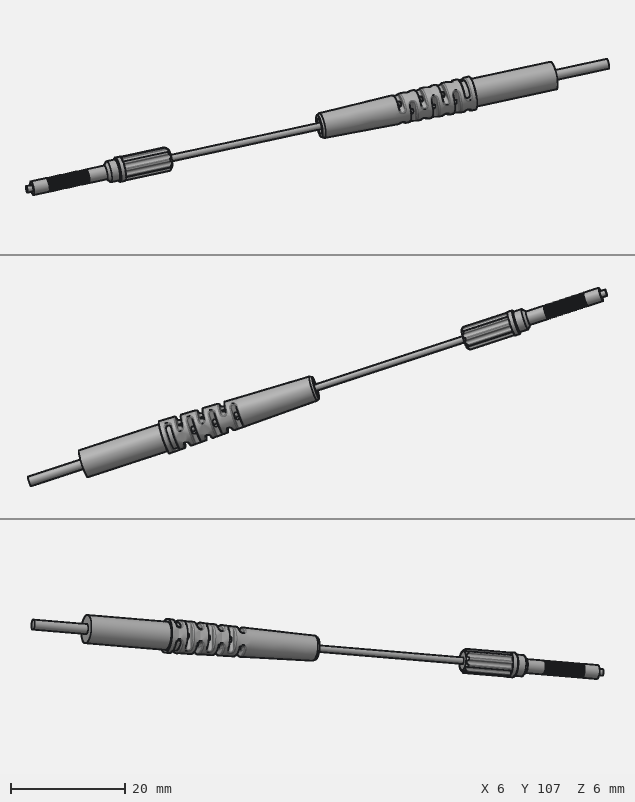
import cadquery as cq
import math

total_length = 107.0
rear_y = total_length / 2

cable_radius = 0.9
tube_start = 10.0
tube_radius = 2.5
tube_end = 27.5
cable_end = 20.0

relief_start = 25.0
relief_end = 53.1
relief_rear_radius = 3.0
relief_front_radius = 2.25
relief_bore_radius = 1.35
relief_end_chamfer = 0.25
relief_end_chamfer_length = 0.45

slot_width = 0.95
slot_rim_fillet = 0.22
slot_pitch = 4.0
z_slot_first = 26.5
z_slot_count = 4
x_slot_first = z_slot_first + slot_pitch / 2
x_slot_count = 3
z_slot_floor = 1.15
x_slot_floor = 1.25

fibre_radius = 0.6

grip_start = 80.7
grip_end = 90.45
grip_radius = 2.15
grip_chamfer = 0.45
ring_start = 89.4
ring_radius = 2.2
ring_chamfer = 0.2
collar_end = 92.5
collar_radius = 1.9
collar_chamfer = 0.6
stem_end = 106.0
stem_radius = 1.25

flute_count = 10
flute_cutter_radius = 0.45
flute_depth = 0.35
flute_rim_fillet = 0.12
flute_first_angle = 90

thread_start = 95.8
thread_end = 103.2
thread_groove_count = 20
thread_depth = 0.18


def revolve_profile(points):
    """Solid of revolution about Y from (radius, station) points."""
    outline = [(radius, rear_y - station) for radius, station in points]
    return cq.Workplane("XY").polyline(outline).close().revolve(360, (0, 0, 0), (0, 1, 0))


def rod(radius, start, end):
    """Cylinder on the Y axis between two stations."""
    return cq.Workplane("XZ", origin=(0, rear_y - start, 0)).circle(radius).extrude(end - start)


def side_slot(station, floor, roll):
    """Round-bottomed slot across the +Z side, rolled about Y by the given angle."""
    reach = 2 * relief_rear_radius
    half_width = slot_width / 2
    slot = (
        cq.Workplane("YZ", origin=(-reach, rear_y - station, 0))
        .moveTo(-half_width, reach)
        .lineTo(-half_width, floor + half_width)
        .threePointArc((0, floor), (half_width, floor + half_width))
        .lineTo(half_width, reach)
        .close()
        .extrude(2 * reach)
    )
    return slot.rotate((0, 0, 0), (0, 1, 0), roll)


def make_cable():
    return rod(cable_radius, 0, cable_end)


def make_tube():
    cable_hole = rod(cable_radius, tube_start, cable_end)
    fibre_hole = rod(fibre_radius, cable_end, tube_end)
    return rod(tube_radius, tube_start, tube_end).cut(cable_hole).cut(fibre_hole)


def make_relief():
    relief = revolve_profile([
        (0, relief_start),
        (relief_rear_radius, relief_start),
        (relief_front_radius, relief_end - relief_end_chamfer_length),
        (relief_front_radius - relief_end_chamfer, relief_end),
        (0, relief_end),
    ])
    for i in range(z_slot_count):
        for roll in (0, 180):
            relief = relief.cut(side_slot(z_slot_first + i * slot_pitch, z_slot_floor, roll))
    for i in range(x_slot_count):
        for roll in (90, 270):
            relief = relief.cut(side_slot(x_slot_first + i * slot_pitch, x_slot_floor, roll))
    slot_rims = relief.faces("%CONE").edges("not %CIRCLE").edges("not %LINE")
    relief = slot_rims.fillet(slot_rim_fillet)
    socket = rod(tube_radius, relief_start, tube_end)
    bore = rod(relief_bore_radius, tube_end, relief_end)
    return relief.cut(socket).cut(bore)


def make_fibre():
    return rod(fibre_radius, cable_end, total_length)


def thread_profile():
    """Zigzag of V grooves along the stem, as (radius, station) points."""
    pitch = (thread_end - thread_start) / thread_groove_count
    points = [(stem_radius, thread_start)]
    for i in range(thread_groove_count):
        groove_start = thread_start + i * pitch
        points.append((stem_radius - thread_depth, groove_start + pitch / 2))
        points.append((stem_radius, groove_start + pitch))
    return points


def flute(angle):
    """Round cutter for one lengthwise flute of the grip, at an angle from +X towards +Z."""
    centre_radius = grip_radius + flute_cutter_radius - flute_depth
    x = centre_radius * math.cos(math.radians(angle))
    z = centre_radius * math.sin(math.radians(angle))
    return rod(flute_cutter_radius, grip_start, ring_start).translate((x, 0, z))


def make_grip():
    """Fluted rear of the plug, with rounded flute rims and a chamfered rear end."""
    grip = rod(grip_radius, grip_start, ring_start)
    for i in range(flute_count):
        grip = grip.cut(flute(flute_first_angle + i * 360 / flute_count))
    flute_rims = grip.faces("%CYLINDER").edges("|Y")
    grip = flute_rims.fillet(flute_rim_fillet)
    chamfer_envelope = revolve_profile([
        (0, grip_start),
        (grip_radius - grip_chamfer, grip_start),
        (grip_radius, grip_start + grip_chamfer),
        (grip_radius, ring_start),
        (0, ring_start),
    ])
    return grip.intersect(chamfer_envelope)


def make_plug():
    front = revolve_profile([
        (0, ring_start),
        (ring_radius, ring_start),
        (ring_radius, grip_end - ring_chamfer),
        (ring_radius - ring_chamfer, grip_end),
        (collar_radius, grip_end),
        (collar_radius, collar_end - collar_chamfer),
        (collar_radius - collar_chamfer, collar_end),
        (stem_radius, collar_end),
        *thread_profile(),
        (stem_radius, stem_end),
        (0, stem_end),
    ])
    return make_grip().union(front).cut(rod(fibre_radius, grip_start, stem_end))


cable = make_cable()
tube = make_tube()
relief = make_relief()
fibre = make_fibre()
plug = make_plug()

bodies = [cable, tube, relief, fibre, plug]

result = cq.Compound.makeCompound([body.solids().val() for body in bodies])